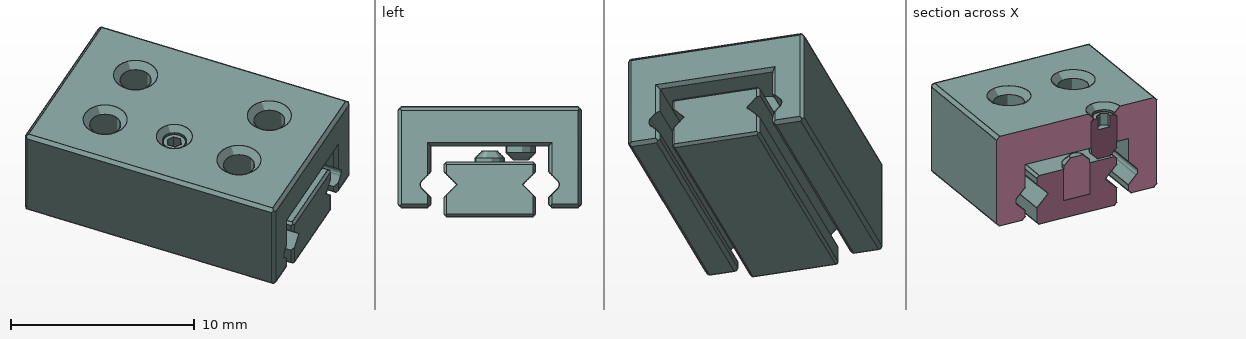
import cadquery as cq
import math

LENGTH = 15.0
CARRIAGE_WIDTH = 10.0
TOTAL_HEIGHT = 6.0

CARRIAGE_BOTTOM = 0.5
CARRIAGE_CHAMFER = 0.2
SLOT_WIDTH = 6.4
SLOT_TOP = 3.85
CARRIAGE_GROOVE_FILLET = 0.3

HOLE_PITCH_Y = 4.0
HOLE_PITCH_X = 2 * HOLE_PITCH_Y
HOLE_DIAMETER = 1.68
HOLE_SINK_DIAMETER = 2.4

RAIL_WIDTH = 5.0
RAIL_HEIGHT = 3.0
RAIL_CHAMFER = 0.15

GROOVE_Z = 1.75
GROOVE_DEPTH = 0.7

SHANK_DIAMETER = 1.6
TIP_DIAMETER = 0.8
SHANK_LENGTH = 2.5
TIP_HEIGHT = (SHANK_DIAMETER - TIP_DIAMETER) / 2

SCREW_Y = -1.7
SCREW_TIP_Z = 3.09
SCREW_TOP_Z = SCREW_TIP_Z + SHANK_LENGTH
SCREW_TOP_CHAMFER = 0.2
SCREW_HOLE_MOUTH = 1.32
SCREW_SINK_DIAMETER = 1.96
HEX_ACROSS_FLATS = 0.72
HEX_DEPTH = 0.7

PIN_TIP_Z = 3.6


def chamfered_block(width, height, chamfer):
    """Block standing on Z = 0 with all edges chamfered; three chamfers meet in a point at each corner."""
    plain = cq.Workplane("XY").box(LENGTH, width, height, centered=(True, True, False))
    block = plain
    for direction in ("|X", "|Y", "|Z"):
        block = block.intersect(plain.edges(direction).chamfer(chamfer))
    return block


def groove_prism(side_y):
    """Square prism along X on its corner, centred on a wall so that half of it cuts a 90 degree V."""
    return (
        cq.Workplane("YZ", origin=(-LENGTH / 2, side_y, GROOVE_Z))
        .polyline([(-GROOVE_DEPTH, 0), (0, -GROOVE_DEPTH), (GROOVE_DEPTH, 0), (0, GROOVE_DEPTH)])
        .close()
        .extrude(LENGTH)
    )


def slot_cutter():
    """Cutter for the channel of the carriage, flared along its bottom mouth and at both ends."""
    half_width = SLOT_WIDTH / 2
    flared_half_width = half_width + CARRIAGE_CHAMFER
    cutter = (
        cq.Workplane("YZ", origin=(-LENGTH / 2, 0, 0))
        .moveTo(-flared_half_width, CARRIAGE_BOTTOM)
        .lineTo(-half_width, CARRIAGE_BOTTOM + CARRIAGE_CHAMFER)
        .lineTo(-half_width, SLOT_TOP)
        .lineTo(half_width, SLOT_TOP)
        .lineTo(half_width, CARRIAGE_BOTTOM + CARRIAGE_CHAMFER)
        .lineTo(flared_half_width, CARRIAGE_BOTTOM)
        .close()
        .extrude(LENGTH)
    )
    flare_top = SLOT_TOP + CARRIAGE_CHAMFER
    end_flare = (
        cq.Workplane("YZ", origin=(-LENGTH / 2, 0, flare_top / 2))
        .rect(2 * flared_half_width, flare_top)
        .extrude(CARRIAGE_CHAMFER, taper=45)
    )
    return cutter.union(end_flare).union(end_flare.mirror("YZ"))


def countersunk_hole(x, y, diameter, sink_diameter):
    """Cutter for a hole through the carriage roof with a 90 degree countersink."""
    sink_depth = (sink_diameter - diameter) / 2
    return (
        cq.Workplane("XZ", origin=(x, y, 0))
        .moveTo(0, SLOT_TOP)
        .lineTo(diameter / 2, SLOT_TOP)
        .lineTo(diameter / 2, TOTAL_HEIGHT - sink_depth)
        .lineTo(sink_diameter / 2, TOTAL_HEIGHT)
        .lineTo(0, TOTAL_HEIGHT)
        .close()
        .revolve(360, (0, 0, 0), (0, 1, 0))
    )


def pointed_shank():
    """Upright round shank standing on Z = 0 with a truncated 90 degree cone on top."""
    return (
        cq.Workplane("XY")
        .circle(SHANK_DIAMETER / 2)
        .extrude(SHANK_LENGTH)
        .faces(">Z")
        .chamfer(TIP_HEIGHT)
    )


def make_set_screw():
    """Set screw pointing down, with a hexagon socket in its upper end."""
    socket = (
        cq.Workplane("XY", origin=(0, SCREW_Y, SCREW_TOP_Z - HEX_DEPTH))
        .polygon(6, HEX_ACROSS_FLATS / math.cos(math.pi / 6))
        .extrude(HEX_DEPTH)
    )
    shank = (
        pointed_shank()
        .faces("<Z")
        .chamfer(SCREW_TOP_CHAMFER)
        .rotate((0, 0, 0), (1, 0, 0), 180)
    )
    return shank.translate((0, SCREW_Y, SCREW_TOP_Z)).cut(socket)


def make_stop_pin():
    """Stop pin pointing up from the middle of the rail."""
    return pointed_shank().translate((0, 0, PIN_TIP_Z - SHANK_LENGTH))


def make_rail(pin):
    """Chamfered bar with a V groove in each flank and a seat for the stop pin."""
    rail = chamfered_block(RAIL_WIDTH, RAIL_HEIGHT, RAIL_CHAMFER)
    for side in (-1, 1):
        rail = rail.cut(groove_prism(side * RAIL_WIDTH / 2))
    return rail.cut(pin)


def make_carriage(screw):
    """Channel-shaped carriage with ball grooves, mounting holes and the set screw hole."""
    block = chamfered_block(CARRIAGE_WIDTH, TOTAL_HEIGHT - CARRIAGE_BOTTOM, CARRIAGE_CHAMFER)
    carriage = block.translate((0, 0, CARRIAGE_BOTTOM)).cut(slot_cutter())

    for side in (-1, 1):
        groove = groove_prism(side * SLOT_WIDTH / 2)
        apex = ">Y" if side > 0 else "<Y"
        carriage = carriage.cut(groove.edges("|X").edges(apex).fillet(CARRIAGE_GROOVE_FILLET))

    for x in (-HOLE_PITCH_X / 2, HOLE_PITCH_X / 2):
        for y in (-HOLE_PITCH_Y / 2, HOLE_PITCH_Y / 2):
            carriage = carriage.cut(countersunk_hole(x, y, HOLE_DIAMETER, HOLE_SINK_DIAMETER))

    carriage = carriage.cut(countersunk_hole(0, SCREW_Y, SCREW_HOLE_MOUTH, SCREW_SINK_DIAMETER))
    return carriage.cut(screw)


set_screw = make_set_screw()
stop_pin = make_stop_pin()
rail = make_rail(stop_pin)
carriage = make_carriage(set_screw)

bodies = [carriage, rail, set_screw, stop_pin]
result = cq.Compound.makeCompound([body.solids().val() for body in bodies])